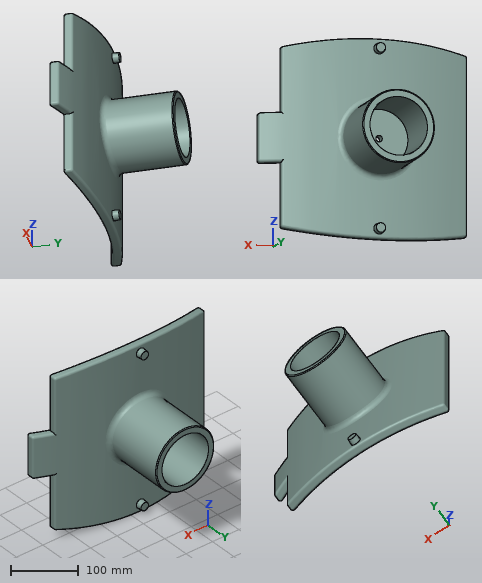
import cadquery as cq
import math

plate_width = 283.5
plate_height = 300.0
plate_thickness = 15.0
front_radius = 400.0
crown_radius = 700.0
edge_fillet = 4.0

tab_length = 31.5
tab_height = 75.0

tube_diameter = 110.0
tube_bore = 88.0
tube_length = 105.0
tube_rim_chamfer = 1.5
tube_root_fillet = 8.0

pin_root_diameter = 16.0
pin_draft_angle = 5.0
pin_length = 10.0
pin_offset = 135.0
center_hole_diameter = 9.6

back_radius = front_radius + plate_thickness
curve_center_y = -back_radius
half_width = plate_width / 2
half_height = plate_height / 2
half_tab = tab_height / 2
tab_end = half_width + tab_length
embed_depth = plate_thickness / 2
match_tolerance = 0.01


def cylinder_along_y(diameter, start_y, end_y):
    """Cylinder about the Y axis between two Y positions."""
    disc = cq.Workplane("XZ", origin=(0, start_y, 0)).circle(diameter / 2)
    return disc.extrude(start_y - end_y)


def make_curved_shell():
    """Full ring whose wall holds the curved front and back faces."""
    ring = cq.Workplane("XY", origin=(0, curve_center_y, -half_height))
    return ring.circle(back_radius).circle(front_radius).extrude(plate_height)


def make_outline_prism():
    """Crowned plate outline with the side tab, extruded toward -Y."""
    crown_drop = crown_radius - math.sqrt(crown_radius**2 - half_width**2)
    corner_z = half_height - crown_drop
    outline = (
        cq.Workplane("XZ")
        .moveTo(-half_width, -corner_z)
        .threePointArc((0, -half_height), (half_width, -corner_z))
        .lineTo(half_width, -half_tab)
        .lineTo(tab_end, -half_tab)
        .lineTo(tab_end, half_tab)
        .lineTo(half_width, half_tab)
        .lineTo(half_width, corner_z)
        .threePointArc((0, half_height), (-half_width, corner_z))
        .close()
    )
    return outline.extrude(-curve_center_y)


def is_tab_inner_corner(edge):
    """True for the two concave edges where the tab meets the plate."""
    middle = edge.Center()
    at_plate_side = abs(middle.x - half_width) < match_tolerance
    at_tab_side = abs(abs(middle.z) - half_tab) < match_tolerance
    return at_plate_side and at_tab_side


def make_plate():
    """Curved plate with tab, all edges rounded except the inner tab corners."""
    plate = make_outline_prism().intersect(make_curved_shell())
    outer_edges = [edge for edge in plate.edges().vals() if not is_tab_inner_corner(edge)]
    return plate.newObject(outer_edges).fillet(edge_fillet)


def is_tube_root(edge):
    """True for the edge where the tube wall meets the back of the plate."""
    points = edge.positions([0, 0.3, 0.6])
    on_tube_wall = all(
        abs(math.hypot(point.x, point.z) - tube_diameter / 2) < match_tolerance for point in points
    )
    near_plate = all(point.y < tube_length / 2 for point in points)
    return on_tube_wall and near_plate


def add_tube(body):
    """Add the tube, chamfer its rim, round its root, and bore it down to the plate."""
    tube = cylinder_along_y(tube_diameter, -embed_depth, tube_length)
    tube = tube.faces(">Y").edges().chamfer(tube_rim_chamfer)
    body = body.union(tube)
    root_edges = [edge for edge in body.edges().vals() if is_tube_root(edge)]
    body = body.newObject(root_edges).fillet(tube_root_fillet)
    return body.cut(cylinder_along_y(tube_bore, 0, tube_length))


def make_pin(z):
    """Tapered pin, widest inside the plate, with its root diameter at Y = 0."""
    taper = math.tan(math.radians(pin_draft_angle))
    root_radius = pin_root_diameter / 2
    embedded_radius = root_radius + embed_depth * taper
    tip_radius = root_radius - pin_length * taper
    half_section = (
        cq.Workplane("XY", origin=(0, 0, z))
        .moveTo(0, -embed_depth)
        .lineTo(embedded_radius, -embed_depth)
        .lineTo(tip_radius, pin_length)
        .lineTo(0, pin_length)
        .close()
    )
    return half_section.revolve(360, (0, 0, 0), (0, 1, 0))


result = add_tube(make_plate())
result = result.cut(cylinder_along_y(center_hole_diameter, -2 * plate_thickness, tube_length))
for pin_z in (-pin_offset, pin_offset):
    result = result.union(make_pin(pin_z))